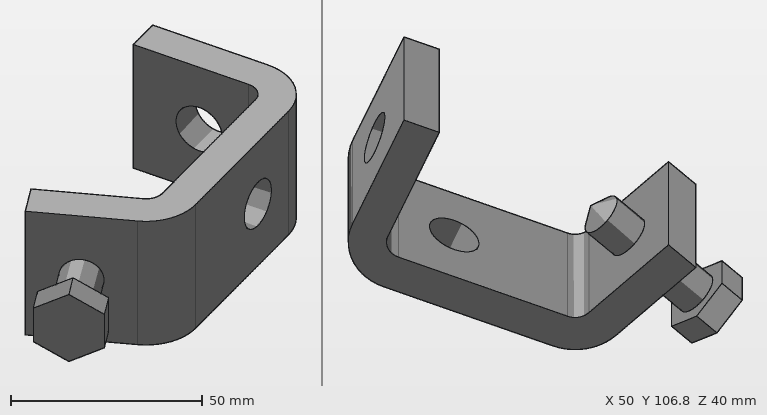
import cadquery as cq
import math

width = 50.0
height = 40.0
thickness = 10.0
inner_radius = 5.0
outer_radius = inner_radius + thickness
corner_y = -73.1
leg_angle = 22.0
lower_leg_length = 39.8

hole_diameter = 14.0
leg_hole_x = 20.0
web_hole_y = -30.9

screw_offset = 25.0
screw_diameter = 12.0
screw_length = 46.5
point_length = 3.8
head_height = 7.5
head_across_flats = 18.8
head_projection = 22.4

tilt = math.radians(leg_angle)
along_leg = (-math.cos(tilt), -math.sin(tilt))
outward = (math.sin(tilt), -math.cos(tilt))


def lower_leg_point(along, out):
    """XY point located from the sharp outer corner of the lower leg."""
    return (
        width + along * along_leg[0] + out * outward[0],
        corner_y + along * along_leg[1] + out * outward[1],
    )


def make_strap():
    web_inner_x = width - thickness
    inner_corner_along = thickness * math.tan((math.pi / 2 - tilt) / 2)
    inner_corner = lower_leg_point(inner_corner_along, -thickness)
    outline = [
        (0, 0),
        (width, 0),
        (width, corner_y),
        lower_leg_point(lower_leg_length, 0),
        lower_leg_point(lower_leg_length, -thickness),
        inner_corner,
        (web_inner_x, -thickness),
        (0, -thickness),
    ]
    strap = cq.Workplane("XY").polyline(outline).close().extrude(height / 2, both=True)

    def bend_edge(point):
        return cq.selectors.NearestToPointSelector((point[0], point[1], 0))

    for corner in [(width, 0), (width, corner_y)]:
        strap = strap.edges("|Z").edges(bend_edge(corner)).fillet(outer_radius)
    for corner in [(web_inner_x, -thickness), inner_corner]:
        strap = strap.edges("|Z").edges(bend_edge(corner)).fillet(inner_radius)
    return strap


def make_holes():
    radius = hole_diameter / 2
    leg_hole = cq.Workplane("XZ", origin=(leg_hole_x, 0, 0)).circle(radius).extrude(thickness)
    web_hole = cq.Workplane("YZ", origin=(width, web_hole_y, 0)).circle(radius).extrude(-thickness)
    return leg_hole.union(web_hole)


def make_screw():
    head_x, head_y = lower_leg_point(screw_offset, head_projection)
    head_plane = cq.Plane(
        origin=(head_x, head_y, 0),
        xDir=(0, 0, 1),
        normal=(-outward[0], -outward[1], 0),
    )
    across_corners = head_across_flats / math.cos(math.pi / 6)
    head = cq.Workplane(head_plane).polygon(6, across_corners).extrude(head_height)
    shank = (
        cq.Workplane(head_plane)
        .transformed(rotate=(90, 0, 0))
        .polyline([
            (0, 0),
            (screw_diameter / 2, 0),
            (screw_diameter / 2, screw_length - point_length),
            (0, screw_length),
        ])
        .close()
        .revolve(360, (0, 0), (0, 1))
    )
    return head.union(shank)


result = make_strap().cut(make_holes()).union(make_screw())